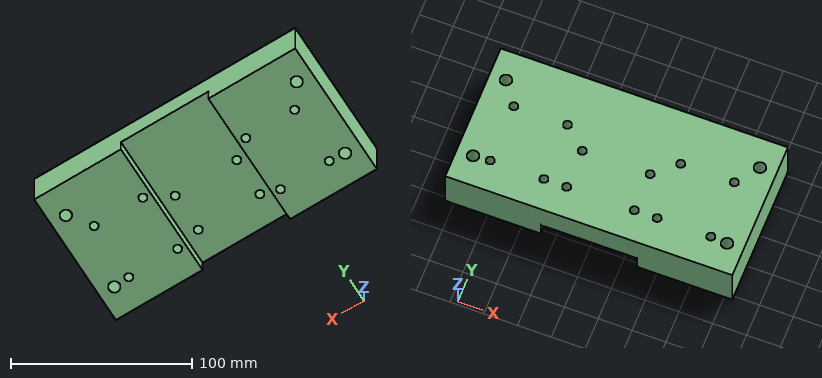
import cadquery as cq

length = 170.0
width = 85.0
height = 30.0

channel_width = 57.0
channel_depth = 10.4

mount_diameter = 6.8
mount_x = 75.1
mount_y = 25.2

small_diameter = 5.0
outer_x = 65.3
middle_x = 33.5
inner_x = 20.0
front_row_y = -24.5
inner_row_y = -0.5
back_row_y = 11.5


def mirrored_in_x(points):
    """Return the points together with their mirror images across X = 0."""
    return [(side * x, y) for x, y in points for side in (-1, 1)]


def through_holes(diameter, points):
    """Cylinders that pass through the full height of the block."""
    return cq.Workplane("XY").pushPoints(points).circle(diameter / 2).extrude(height)


block = cq.Workplane("XY").box(length, width, height, centered=(True, True, False))
channel = cq.Workplane("XY").box(
    channel_width, width, channel_depth, centered=(True, True, False)
)

mount_points = mirrored_in_x([(mount_x, -mount_y), (mount_x, mount_y)])
small_points = mirrored_in_x([
    (outer_x, front_row_y),
    (middle_x, front_row_y),
    (inner_x, front_row_y),
    (inner_x, inner_row_y),
    (outer_x, back_row_y),
    (middle_x, back_row_y),
])

result = (
    block.cut(channel)
    .cut(through_holes(mount_diameter, mount_points))
    .cut(through_holes(small_diameter, small_points))
)